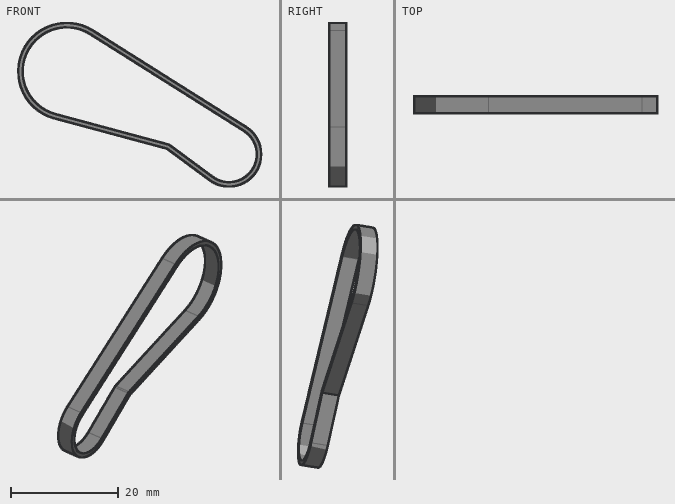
import cadquery as cq
import math

length = 45.3
height = 30.5
depth = 3.2
wall = 0.85

large_radius = 9.05
small_radius = 6.0
large_center = (0.0, 0.0)
small_center = (
    length - large_radius - small_radius,
    -(height - large_radius - small_radius),
)

kink = (18.65, -14.4)


def point_on_circle(center, radius, angle):
    return (center[0] + radius * math.cos(angle), center[1] + radius * math.sin(angle))


def direction(start, end):
    return math.atan2(end[1] - start[1], end[0] - start[0])


center_distance = math.dist(large_center, small_center)
tangent_tilt = math.acos((large_radius - small_radius) / center_distance)
upper_angle = direction(large_center, small_center) + tangent_tilt
large_upper = point_on_circle(large_center, large_radius, upper_angle)
small_upper = point_on_circle(small_center, small_radius, upper_angle)

large_spread = math.acos(large_radius / math.dist(large_center, kink))
large_lower_angle = direction(large_center, kink) - large_spread
large_lower = point_on_circle(large_center, large_radius, large_lower_angle)
small_spread = math.acos(small_radius / math.dist(small_center, kink))
small_lower_angle = direction(small_center, kink) + small_spread
small_lower = point_on_circle(small_center, small_radius, small_lower_angle)

large_left = (large_center[0] - large_radius, large_center[1])
small_right = (small_center[0] + small_radius, small_center[1])


def outline():
    return (
        cq.Workplane("XZ")
        .moveTo(*large_upper)
        .lineTo(*small_upper)
        .threePointArc(small_right, small_lower)
        .lineTo(*kink)
        .lineTo(*large_lower)
        .threePointArc(large_left, large_upper)
        .close()
    )


body = outline().extrude(depth)
opening = outline().offset2D(-wall, "arc").extrude(depth)
result = body.cut(opening)